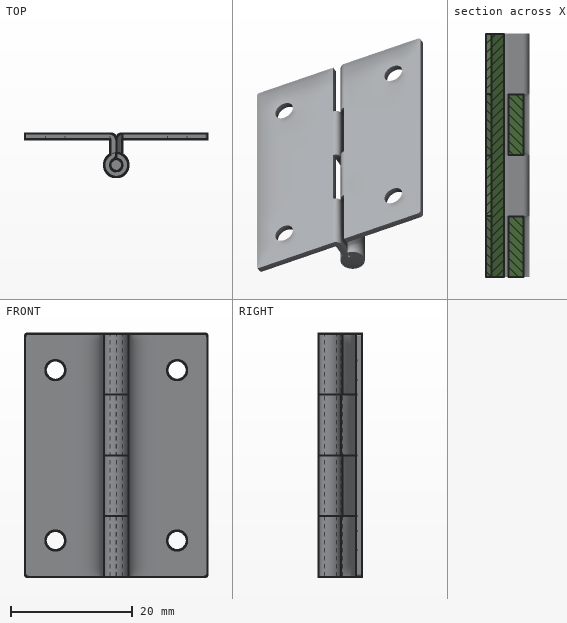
import cadquery as cq
import math

height = 40.0
width = 30.0
depth = 7.2
thickness = 1.0
pin_radius = 1.0
corner_radius = 0.5
hole_diameter = 3.2
hole_spacing_x = 20.0
hole_end_distance = 6.0
knuckle_count = 4
curl_gap = 0.02

half_width = width / 2
knuckle_radius = pin_radius + thickness
knuckle_length = height / knuckle_count
plate_back = depth - knuckle_radius
plate_front = plate_back - thickness
web_foot = math.sqrt(knuckle_radius**2 - thickness**2)


def polar(center_x, center_y, radius, degrees):
    """Point on a circle about the given center."""
    angle = math.radians(degrees)
    return (center_x + radius * math.cos(angle), center_y + radius * math.sin(angle))


def make_plate():
    """Flat left-hand plate with rounded outer corners and two screw holes."""
    plate_width = half_width - thickness
    plate = (
        cq.Workplane("XY")
        .box(plate_width, thickness, height, centered=False)
        .translate((-half_width, plate_front, 0))
        .edges("|Y and <X")
        .fillet(corner_radius)
    )
    for hole_z in (hole_end_distance, height - hole_end_distance):
        hole = (
            cq.Workplane("XZ", origin=(-hole_spacing_x / 2, plate_back, hole_z))
            .circle(hole_diameter / 2)
            .extrude(thickness)
        )
        plate = plate.cut(hole)
    return plate


def make_knuckle(bottom_z):
    """Bend, web and curl that wrap one stretch of the left-hand leaf around the pin."""
    web_x = -thickness
    foot_angle = math.degrees(math.atan2(web_foot, web_x))
    curl_start = polar(0, 0, pin_radius, foot_angle)
    foot_bend_middle = polar(web_x, web_foot, thickness, (foot_angle - 180) / 2)
    curl_end_inner = (curl_gap, math.sqrt(pin_radius**2 - curl_gap**2))
    curl_end_outer = (curl_gap, math.sqrt(knuckle_radius**2 - curl_gap**2))
    return (
        cq.Workplane("XY", origin=(0, 0, bottom_z))
        .moveTo(web_x, plate_back)
        .threePointArc(polar(web_x, plate_front, thickness, 45), (0, plate_front))
        .lineTo(0, web_foot)
        .threePointArc(foot_bend_middle, curl_start)
        .threePointArc((0, -pin_radius), curl_end_inner)
        .lineTo(*curl_end_outer)
        .threePointArc((0, -knuckle_radius), (web_x, web_foot))
        .close()
        .extrude(knuckle_length)
    )


def make_leaf(first_knuckle):
    """Left-hand leaf with every second knuckle, counted from the bottom."""
    leaf = make_plate()
    for index in range(first_knuckle, knuckle_count, 2):
        leaf = leaf.union(make_knuckle(index * knuckle_length))
    return leaf


def make_pin():
    """Plain pin, flush with both ends of the hinge."""
    return cq.Workplane("XY").circle(pin_radius).extrude(height)


left_leaf = make_leaf(first_knuckle=1)
right_leaf = make_leaf(first_knuckle=0).mirror("YZ")
pin = make_pin()

result = cq.Compound.makeCompound([*left_leaf.solids().vals(), *right_leaf.solids().vals(), pin.val()])